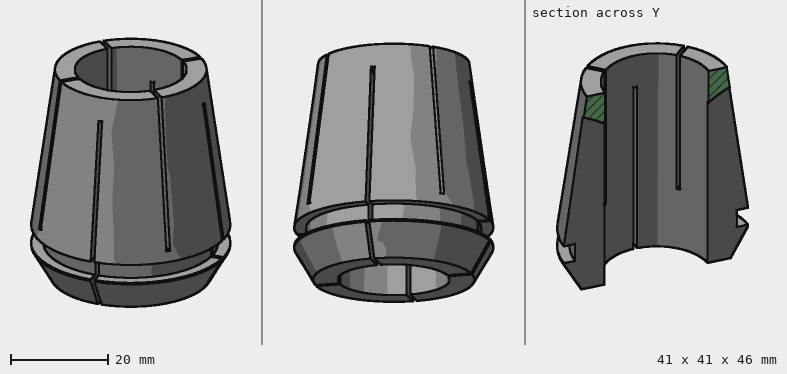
import cadquery as cq
import math

LENGTH = 46.0
MAX_RADIUS = 41.0 / 2
BORE_RADIUS = 11.5
NOSE_ANGLE = 30.0
RIM_BOTTOM = 6.75
RIM_TOP = 7.15
GROOVE_RADIUS = 18.0
GROOVE_TOP = 11.15
TAPER_ANGLE = 8.0
BOTTOM_RADIUS = MAX_RADIUS - RIM_BOTTOM * math.tan(math.radians(NOSE_ANGLE))
TOP_RADIUS = MAX_RADIUS - (LENGTH - GROOVE_TOP) * math.tan(math.radians(TAPER_ANGLE))

SLOT_WIDTH = 0.85
SLOTS_PER_END = 4
SLOT_PITCH = 360.0 / SLOTS_PER_END
CUTTER_RADIUS = 25.0
LOWER_CUTTER_OFFSET = 26.0
LOWER_CUTTER_HEIGHT = 18.05
UPPER_CUTTER_OFFSET = 17.85
UPPER_CUTTER_HEIGHT = 38.3
OVERRUN = 4.6


def make_body():
    """Revolve the bored double-cone section."""
    section = [
        (BORE_RADIUS, 0),
        (BOTTOM_RADIUS, 0),
        (MAX_RADIUS, RIM_BOTTOM),
        (MAX_RADIUS, RIM_TOP),
        (GROOVE_RADIUS, RIM_TOP),
        (GROOVE_RADIUS, GROOVE_TOP),
        (MAX_RADIUS, GROOVE_TOP),
        (TOP_RADIUS, LENGTH),
        (BORE_RADIUS, LENGTH),
    ]
    return cq.Workplane("XZ").polyline(section).close().revolve(360, (0, 0), (0, 1))


def make_slot(cutter_offset, cutter_height, open_height):
    """Slot along +X, swept from the cutter centre height to the open end height."""
    near_side = cutter_offset - CUTTER_RADIUS
    far_side = cutter_offset + CUTTER_RADIUS
    arc_direction = math.copysign(1, cutter_height - open_height)
    arc_end = cutter_height + arc_direction * CUTTER_RADIUS
    return (
        cq.Workplane("XZ")
        .moveTo(near_side, open_height)
        .lineTo(near_side, cutter_height)
        .threePointArc((cutter_offset, arc_end), (far_side, cutter_height))
        .lineTo(far_side, open_height)
        .close()
        .extrude(SLOT_WIDTH / 2, both=True)
    )


def cut_slots(body, slot, first_angle):
    """Cut the slot around the Z axis at equal spacing."""
    for index in range(SLOTS_PER_END):
        angle = first_angle + index * SLOT_PITCH
        body = body.cut(slot.rotate((0, 0, 0), (0, 0, 1), angle))
    return body


lower_slot = make_slot(LOWER_CUTTER_OFFSET, LOWER_CUTTER_HEIGHT, -OVERRUN)
upper_slot = make_slot(UPPER_CUTTER_OFFSET, UPPER_CUTTER_HEIGHT, LENGTH + OVERRUN)

result = make_body()
result = cut_slots(result, lower_slot, 0)
result = cut_slots(result, upper_slot, SLOT_PITCH / 2)